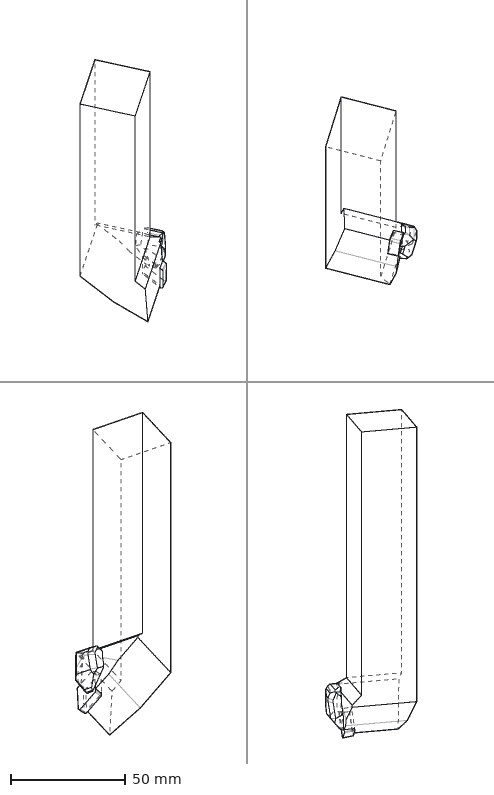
import cadquery as cq
import math

shank_width = 25.0
top_z = 151.4
shank_end_z = 30.0
heel_z = 24.8
head_depth = 29.2
head_corner_z = 25.7
head_corner_x = 29.5
head_tip_x, head_tip_z = 30.7, 2.1
knee_x, knee_z = 15.3, 11.2

insert_side = 11.7
insert_thickness = 4.7
nose_angle = 55.0
nose_radius = 0.8
nose_x, nose_y, nose_z = 31.6, 25.0, 0.74
insert_turn = 30.0
insert_tilt = 10.0

clamp_base_y = 26.0
clamp_back_y = 34.0
clamp_top_z = 26.6
clamp_tip_z = 6.2
clamp_right_x = 31.0
clamp_crest_x = 20.5
clamp_shoulder_z = 24.7
clamp_left_chamfer = 1.8
clamp_back_outline = [
    (22.7, clamp_top_z),
    (19.0, 25.7),
    (16.6, 22.4),
    (17.5, 15.6),
    (24.2, clamp_tip_z),
    (27.2, clamp_tip_z),
    (30.7, 12.5),
    (clamp_right_x, 13.9),
    (clamp_right_x, 19.4),
    (29.8, 23.9),
    (29.4, 26.2),
    (28.2, clamp_top_z),
]
clamp_end_outline = [
    (15.9, clamp_base_y),
    (clamp_crest_x, clamp_back_y),
    (25.0, clamp_back_y),
    (28.3, 33.5),
    (29.8, 31.6),
    (30.7, 29.5),
    (clamp_right_x, 27.5),
    (30.0, clamp_base_y),
]
clamp_side_outline = [
    (clamp_base_y, clamp_top_z),
    (clamp_base_y, clamp_tip_z),
    (27.1, clamp_tip_z),
    (28.3, 7.0),
    (33.0, 12.9),
    (clamp_back_y, 20.6),
    (clamp_back_y, 22.4),
    (33.3, clamp_shoulder_z),
    (31.2, 26.2),
    (head_depth, clamp_top_z),
]

clearance = 90.8


def rake_plane():
    """Plane of the insert's rake face; local X runs from the nose along the long diagonal."""
    turn = math.radians(insert_turn)
    tilt = math.radians(insert_tilt)
    diagonal = (-math.sin(turn) * math.cos(tilt), math.sin(tilt), math.cos(turn) * math.cos(tilt))
    normal = (math.sin(turn) * math.sin(tilt), math.cos(tilt), -math.cos(turn) * math.sin(tilt))
    return cq.Plane(origin=(nose_x, nose_y, nose_z), xDir=diagonal, normal=normal)


def make_insert():
    """Rhombic plate with rounded corners, its nose arc centred on the rake plane's origin."""
    half_angle = math.radians(nose_angle / 2)
    corner = -nose_radius / math.sin(half_angle)
    half_length = insert_side * math.cos(half_angle)
    half_width = insert_side * math.sin(half_angle)
    plate = (
        cq.Workplane("XY")
        .polyline([
            (corner, 0),
            (corner + half_length, half_width),
            (corner + 2 * half_length, 0),
            (corner + half_length, -half_width),
        ])
        .close()
        .extrude(-insert_thickness)
        .edges("|Z")
        .fillet(nose_radius)
    )
    return cq.Workplane(plate.val().moved(cq.Location(rake_plane())))


def make_shank_and_head():
    """Bar with a head: outlines along Y and X intersected, then ground to the rake face."""
    front = (
        cq.Workplane("XZ")
        .polyline([
            (0, top_z),
            (0, heel_z),
            (knee_x, knee_z),
            (head_tip_x, head_tip_z),
            (head_corner_x, head_corner_z),
            (shank_width, shank_end_z),
            (shank_width, top_z),
        ])
        .close()
        .extrude(-head_depth)
    )
    side = (
        cq.Workplane("YZ")
        .polyline([
            (0, top_z),
            (0, 0),
            (head_depth, 0),
            (head_depth, head_corner_z),
            (shank_width, shank_end_z),
            (shank_width, top_z),
        ])
        .close()
        .extrude(clearance)
    )
    above_rake = cq.Workplane(rake_plane()).rect(clearance, clearance).extrude(clearance)
    head_zone = cq.Workplane("XY").box(clearance, clearance, head_corner_z, centered=(True, True, False))
    return front.intersect(side).cut(above_rake.intersect(head_zone))


def make_clamp():
    """Faceted finger: its outlines along X, Y and Z intersected."""
    along_y = cq.Workplane("XZ").polyline(clamp_back_outline).close().extrude(-clearance)
    along_z = cq.Workplane("XY").polyline(clamp_end_outline).close().extrude(clearance)
    along_x = cq.Workplane("YZ").polyline(clamp_side_outline).close().extrude(clearance)
    ridge = along_z.intersect(along_x)
    left_edges = cq.selectors.BoxSelector(
        (0, head_depth, 0),
        (clamp_crest_x + clamp_left_chamfer, clearance, clamp_shoulder_z),
    )
    bevelled = ridge.edges(left_edges).chamfer(clamp_left_chamfer)
    return bevelled.intersect(along_y)


insert = make_insert()
holder = make_shank_and_head().union(make_clamp()).cut(insert)

result = cq.Compound.makeCompound([holder.solids().val(), insert.solids().val()])